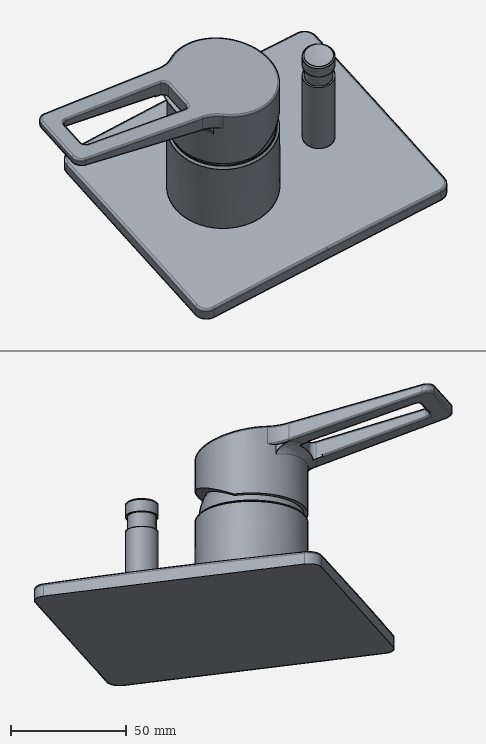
import cadquery as cq
import math


plate_width = 110.0
plate_length = 130.4
plate_front = -48.3
plate_edge_height = 6.6
plate_crown_height = 7.1
plate_corner_radius = 5.8
plate_edge_round = 1.0

body_foot_radius = 24.5
body_radius = 24.4
body_top = 46.5
body_chamfer = 1.0

ball_radius = 22.9
ball_center_z = 46.0

head_radius = body_radius
head_bottom = 49.5
head_relief_top = 60.3
handle_tip_y = -87.2
handle_tip_z = 94.2
handle_slope = math.tan(math.radians(10.0))
lever_tip_thickness = 4.0
lever_slope = math.tan(math.radians(13.8))
lever_root_half_width = 17.3
lever_tip_half_width = 16.0
lever_flare_radius = 15.4
lever_tip_corner_radius = 4.4
handle_edge_round = 0.8
lever_root_round = 4.9

window_root_y = -24.0
window_tip_y = -78.9
window_root_half_width = 9.1
window_tip_half_width = 8.3
window_corner_radius = 2.4
window_floor = 74.7

knob_y = 50.0
knob_radius = 7.1
knob_groove_radius = 6.3
knob_groove_bottom = 47.0
knob_groove_top = 54.2
knob_top = 60.3
knob_edge_chamfer = 0.7
knob_dish_depth = 0.8

overshoot = 8.5
back_y = head_radius + overshoot


def handle_top_z(y):
    """Height of the sloping top face of the handle."""
    return handle_tip_z + (handle_tip_y - y) * handle_slope


def lever_bottom_z(y):
    """Height of the sloping underside of the lever."""
    return handle_tip_z - lever_tip_thickness + (handle_tip_y - y) * lever_slope


def covered_z(y):
    """Height just under the top face, below its rounded edge."""
    return handle_top_z(y) - 2 * handle_edge_round


def side_prism(points):
    """Extrude a (y, z) outline symmetrically along X, wider than the handle."""
    return cq.Workplane("YZ").polyline(points).close().extrude(2 * head_radius, both=True)


def make_plate():
    """Rounded rectangular plate with a slightly domed face."""
    center_y = plate_front + plate_length / 2
    half_width = plate_width / 2
    crown_rise = plate_crown_height - plate_edge_height
    dome_radius = (half_width ** 2 + crown_rise ** 2) / (2 * crown_rise)

    def dome_z(distance):
        return plate_crown_height - dome_radius + math.sqrt(dome_radius ** 2 - distance ** 2)

    dome = (
        cq.Workplane("XZ", origin=(0, center_y, 0))
        .moveTo(0, plate_crown_height)
        .threePointArc((half_width, dome_z(half_width)), (plate_length, dome_z(plate_length)))
        .lineTo(plate_length, -overshoot)
        .lineTo(0, -overshoot)
        .close()
        .revolve(360, (0, 0), (0, 1))
    )
    return (
        cq.Workplane("XY")
        .center(0, center_y)
        .rect(plate_width, plate_length)
        .extrude(plate_crown_height + overshoot)
        .edges("|Z")
        .fillet(plate_corner_radius)
        .intersect(dome)
        .faces(">Z")
        .edges()
        .fillet(plate_edge_round)
    )


def make_body():
    """Slightly tapered round body with a chamfered top rim."""
    return (
        cq.Workplane("XZ")
        .moveTo(0, 0)
        .lineTo(body_foot_radius, 0)
        .lineTo(body_radius, body_top - body_chamfer)
        .lineTo(body_radius - body_chamfer, body_top)
        .lineTo(0, body_top)
        .close()
        .revolve(360, (0, 0), (0, 1))
    )


def make_ball():
    return cq.Workplane("XY").sphere(ball_radius).translate((0, 0, ball_center_z))


def handle_prism(inset=0.0):
    """Upright prism over the handle outline, drawn in from its edge by the inset.

    The outline is the head circle with a tapered lever flaring out of it tangentially.
    """
    circle_radius = head_radius - inset
    flare_radius = lever_flare_radius + inset
    root_x = lever_root_half_width - inset
    tip_x = lever_tip_half_width - inset
    tip_y = handle_tip_y + inset
    flare_x = root_x + flare_radius
    flare_y = -math.sqrt((circle_radius + flare_radius) ** 2 - flare_x ** 2)
    flare_angle = math.atan2(-flare_y, flare_x)
    touch_x = circle_radius * math.cos(flare_angle)
    touch_y = -circle_radius * math.sin(flare_angle)
    middle_x = flare_x - flare_radius * math.cos(flare_angle / 2)
    middle_y = flare_y + flare_radius * math.sin(flare_angle / 2)
    return (
        cq.Workplane("XY")
        .moveTo(-touch_x, touch_y)
        .threePointArc((-middle_x, middle_y), (-root_x, flare_y))
        .lineTo(-tip_x, tip_y)
        .lineTo(tip_x, tip_y)
        .lineTo(root_x, flare_y)
        .threePointArc((middle_x, middle_y), (touch_x, touch_y))
        .threePointArc((0, circle_radius), (-touch_x, touch_y))
        .close()
        .extrude(handle_tip_z)
        .edges("|Z and <Y")
        .fillet(lever_tip_corner_radius - inset)
    )


def window_prism(floor):
    """Upright prism of the lever window, starting at the floor height."""
    return (
        cq.Workplane("XY", origin=(0, 0, floor))
        .polyline([
            (-window_root_half_width, window_root_y),
            (window_root_half_width, window_root_y),
            (window_tip_half_width, window_tip_y),
            (-window_tip_half_width, window_tip_y),
        ])
        .close()
        .extrude(handle_tip_z)
        .edges("|Z")
        .fillet(window_corner_radius)
    )


def make_blade():
    """Wedge-shaped top of the handle with its lever, window and rounded edges."""
    wedge = side_prism([
        (back_y, lever_bottom_z(back_y)),
        (back_y, handle_top_z(back_y)),
        (handle_tip_y, handle_tip_z),
        (handle_tip_y, lever_bottom_z(handle_tip_y)),
    ])
    top_normal = cq.Vector(0, handle_slope, 1)
    bottom_normal = cq.Vector(0, -lever_slope, -1)
    return (
        handle_prism()
        .intersect(wedge)
        .cut(window_prism(0))
        .faces(cq.DirectionMinMaxSelector(top_normal))
        .edges()
        .fillet(handle_edge_round)
        .faces(cq.DirectionMinMaxSelector(bottom_normal))
        .edges()
        .fillet(handle_edge_round)
    )


def make_head():
    """Cylinder under the blade with a relief cut below its back half."""
    profile = side_prism([
        (-back_y, head_bottom),
        (0, head_bottom),
        (head_radius, head_relief_top),
        (head_radius, covered_z(head_radius)),
        (-back_y, covered_z(-back_y)),
    ])
    return cq.Workplane("XY").circle(head_radius).extrude(handle_tip_z).intersect(profile)


def make_lever_root():
    """Rounded transition from the underside of the lever down the head cylinder."""
    slab = side_prism([
        (back_y, lever_bottom_z(back_y)),
        (back_y, handle_tip_z),
        (handle_tip_y, handle_tip_z),
        (handle_tip_y, lever_bottom_z(handle_tip_y)),
    ])
    blended_slab = (
        cq.Workplane("XY")
        .circle(head_radius)
        .extrude(handle_tip_z)
        .union(slab)
        .edges("%ELLIPSE")
        .fillet(lever_root_round)
    )
    root_end_y = -head_radius - lever_root_round
    profile = side_prism([
        (0, head_bottom),
        (0, covered_z(0)),
        (root_end_y, lever_bottom_z(root_end_y) + handle_edge_round),
        (root_end_y, head_bottom),
    ])
    return handle_prism(handle_edge_round).intersect(blended_slab).intersect(profile)


def make_handle():
    """Head, lever and lever root; the window leaves a thin lip on the root."""
    support = make_head().union(make_lever_root()).cut(window_prism(window_floor))
    return support.union(make_blade())


def make_knob():
    """Grooved push knob with a shallow dish in its top."""
    rim_radius = knob_radius - knob_edge_chamfer
    dish_radius = (rim_radius ** 2 + knob_dish_depth ** 2) / (2 * knob_dish_depth)
    dish = cq.Workplane("XY").sphere(dish_radius).translate(
        (0, 0, knob_top - knob_dish_depth + dish_radius)
    )
    return (
        cq.Workplane("XZ")
        .moveTo(0, 0)
        .lineTo(knob_radius, 0)
        .lineTo(knob_radius, knob_groove_bottom)
        .lineTo(knob_groove_radius, knob_groove_bottom)
        .lineTo(knob_groove_radius, knob_groove_top)
        .lineTo(knob_radius, knob_groove_top)
        .lineTo(knob_radius, knob_top - knob_edge_chamfer)
        .lineTo(rim_radius, knob_top)
        .lineTo(0, knob_top)
        .close()
        .revolve(360, (0, 0), (0, 1))
        .cut(dish)
        .translate((0, knob_y, 0))
    )


result = (
    make_plate()
    .union(make_body())
    .union(make_ball())
    .union(make_handle())
    .union(make_knob())
)